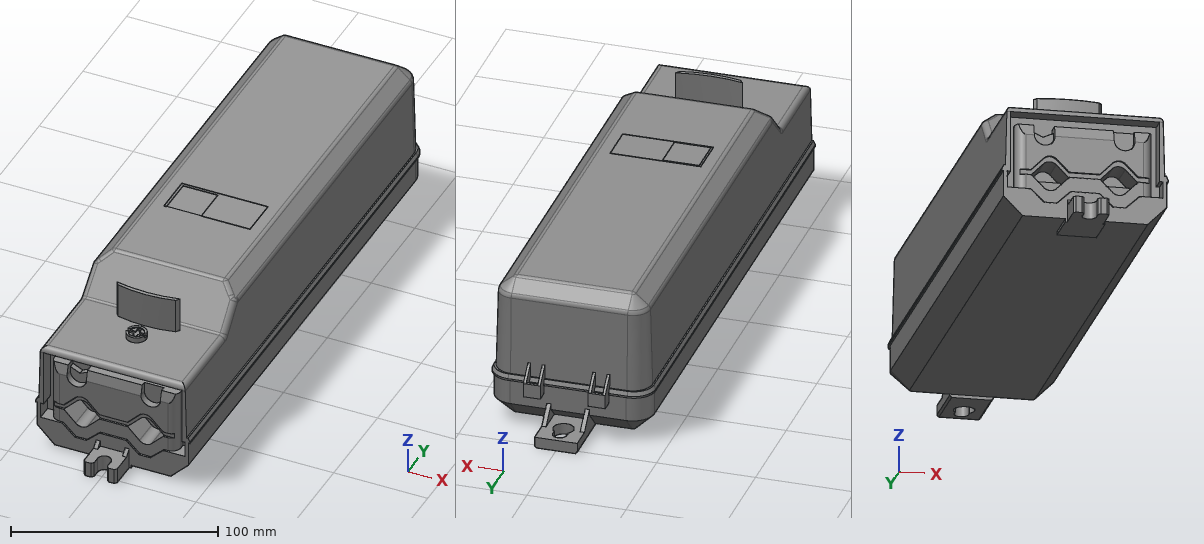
import cadquery as cq

overall_width = 82.2
overall_length = 305.51
overall_height = 76.05
front_tip_y = -14.9
rear_tip_y = front_tip_y + overall_length

reach = 60.0
slack = 0.1
overlap = 1.0

base_half_width = 40.3
base_rear_y = 270.6
base_bottom_z = 1.6
base_chamfer = 9.4
base_corner_radius = 11.0
split_z = 24.0

lip_half_width = overall_width / 2
lip_rear_y = base_rear_y + lip_half_width - base_half_width
lip_height = 3.0
lip_bevel_drop = 2.1
lip_bevel_inset = 1.0

lid_half_width = 39.4
lid_rear_y = 269.7
lid_corner_radius = 10.0
lid_draft = 1.5
lid_chamfer = 8.0
lid_chamfer_drop = 7.0
lid_edge_radius = 3.0
step_z = 57.4
step_top_y = 64.6
step_edge_radius = 3.0
step_foot_radius = 2.0

opening_half_width = 36.8
opening_top_z = step_z - step_edge_radius
opening_floor_z = 15.7
tray_half_width = 38.4
opening_depth = 8.0
insert_half_width = 33.7
insert_front_y = 1.0
insert_edge_radius = 4.8
insert_bevel_z = 43.7
insert_top_z = 49.2
insert_bevel_run = 1.5
cable_x = 17.0
cable_axis_z = 23.3
cable_half_width = 9.4
cable_tip_radius = 4.5
cable_pocket_depth = 14.0
cable_upper_depth = 16.0
pocket_split_z = 24.9
seam_height = 2.6
seam_depth = 1.0
notch_bottom_z = 9.3
notch_top_half = 9.9
notch_bottom_half = 3.0
wire_x = 19.7
wire_diameter = 10.3
wire_axis_z = 44.0
wire_depth = 4.0
saddle_edge_z = 46.6
saddle_bottom_z = 44.2

flag_front_half = 15.3
flag_rear_half = 16.8
flag_end_y = 38.9
flag_bow = 1.8
flag_thickness = 2.0
screw_y = 27.3
screw_diameter = 10.3
screw_recess_diameter = 7.8
screw_height = 2.9
screw_recess_depth = 0.6
cross_depth = 1.4
cross_length = 5.8
cross_width = 2.0
label_width = 45.8
label_length = 20.5
label_y = 117.9
label_depth = 0.3
label_square = 18.5
label_border = 1.2

slot_width = 7.0
front_foot_width = 17.6
front_foot_height = 8.2
front_slot_y = -9.8
front_pad_width = 19.5
front_pad_rear_y = 19.6
tip_chamfer = 1.2
rear_foot_width = 21.6
rear_foot_height = 5.8
rear_foot_chamfer = 1.0
rear_gusset_y = 278.9
keyhole_diameter = 10.3
keyhole_y = 278.1
keyhole_slot_y = 284.2
gusset_thickness = 2.2
front_gusset_run = 3.0

latch_x = 16.4
latch_width = 8.6
latch_rear_y = 277.0
latch_bottom_z = 19.4
latch_shoulder_z = 26.6
latch_cheek = 1.4
latch_plate = 1.6
latch_floor = 2.0


def box(x0, x1, y0, y1, z0, z1):
    """Axis-aligned block between two corners."""
    return cq.Workplane("XY").box(x1 - x0, y1 - y0, z1 - z0, centered=False).translate((x0, y0, z0))


def side_profile(points, width, center_x=0):
    """Closed Y-Z outline extruded along X, centred on center_x."""
    return cq.Workplane("YZ").polyline(points).close().extrude(width / 2, both=True).translate((center_x, 0, 0))


def front_profile(points, y0, y1):
    """Closed X-Z outline extruded along Y from y0 to y1."""
    return cq.Workplane("XZ", origin=(0, y0, 0)).polyline(points).close().extrude(y0 - y1)


def rounded_tail(half_width, rear_y, radius, z0, height, taper=0):
    """Long block with rounded rear corners; it overruns the front face by `radius`."""
    length = rear_y + radius
    return (
        cq.Workplane("XY", origin=(0, rear_y - length / 2, z0))
        .sketch().rect(2 * half_width, length).vertices(">Y").fillet(radius).finalize()
        .extrude(height, taper=taper)
    )


def trim_front(body):
    """Remove everything ahead of the front end face."""
    return body.cut(box(-reach, reach, -reach, 0, -reach, overall_height + reach))


def make_base():
    height = split_z - base_bottom_z
    base = rounded_tail(base_half_width, base_rear_y, base_corner_radius, base_bottom_z, height)
    return trim_front(base.faces("<Z").chamfer(base_chamfer))


def make_lip():
    lip = rounded_tail(lip_half_width, lip_rear_y, base_corner_radius, split_z, lip_height)
    return trim_front(lip.faces(">Z").chamfer(lip_bevel_drop, lip_bevel_inset))


def make_lid():
    height = overall_height - split_z
    lid = rounded_tail(lid_half_width, lid_rear_y, lid_corner_radius, split_z, height, lid_draft)
    lid = lid.faces(">Z").chamfer(lid_chamfer_drop, lid_chamfer)
    ramp_rise = overall_height - step_z
    step_foot_y = step_top_y - ramp_rise
    step = side_profile(
        [
            (-reach, step_z),
            (step_foot_y, step_z),
            (step_top_y + reach, overall_height + reach),
            (-reach, overall_height + reach),
        ],
        2 * reach,
    )
    lid = trim_front(lid.cut(step))

    foot_zone = cq.selectors.BoxSelector(
        (-reach, step_foot_y - slack, step_z - slack), (reach, step_foot_y + slack, step_z + slack)
    )
    lid = lid.edges(foot_zone).edges("|X").fillet(step_foot_radius)

    rim_zone = cq.selectors.BoxSelector(
        (-reach, -slack, step_z - slack), (reach, step_foot_y - step_foot_radius, step_z + slack)
    )
    lid = lid.edges(rim_zone).fillet(step_edge_radius)

    bevel_zone = cq.selectors.BoxSelector(
        (-reach, step_top_y - lid_chamfer, overall_height - lid_chamfer_drop),
        (reach, step_top_y + slack, overall_height + slack),
        boundingbox=True,
    )
    ramp_corners = lid.edges(bevel_zone).edges("not |X")
    return lid.faces(">Z").edges().add(ramp_corners).fillet(lid_edge_radius)


def make_opening():
    """Stepped cable opening, wider through the base tray than through the lid."""
    lid_part = box(-opening_half_width, opening_half_width, 0, opening_depth, split_z, opening_top_z)
    tray_part = box(-tray_half_width, tray_half_width, 0, opening_depth, opening_floor_z, split_z)
    opening = lid_part.union(tray_part)
    for x in (-cable_x, cable_x):
        notch = [
            (x - notch_top_half, opening_floor_z),
            (x - notch_bottom_half, notch_bottom_z),
            (x + notch_bottom_half, notch_bottom_z),
            (x + notch_top_half, opening_floor_z),
        ]
        opening = opening.union(front_profile(notch, 0, insert_front_y))
    return opening


def cable_shape(x, z, y0, y1):
    """Diamond cable passage with rounded upper and lower tips."""
    diamond = [
        (x - cable_half_width, z),
        (x, z - cable_half_width),
        (x + cable_half_width, z),
        (x, z + cable_half_width),
    ]
    return front_profile(diamond, y0, y1).edges("|Y").edges(">Z or <Z").fillet(cable_tip_radius)


def make_insert():
    """Clamping block that fills the opening, with a stepped cable seam and two wire grooves."""
    back_y = opening_depth + overlap
    insert = box(-insert_half_width, insert_half_width, insert_front_y, back_y, opening_floor_z, insert_top_z)
    insert = insert.edges("|Z and <Y").fillet(insert_edge_radius)
    bevel = [
        (insert_front_y, insert_bevel_z),
        (insert_front_y + insert_bevel_run, insert_top_z),
        (insert_front_y - overlap, insert_top_z),
        (insert_front_y - overlap, insert_bevel_z),
    ]
    insert = insert.cut(side_profile(bevel, 2 * insert_half_width))

    seam_end_y = insert_front_y + seam_depth
    seam = box(
        -insert_half_width, insert_half_width,
        insert_front_y, seam_end_y, cable_axis_z, cable_axis_z + seam_height,
    )
    insert = insert.cut(seam)
    for x in (-cable_x, cable_x):
        insert = insert.cut(cable_shape(x, cable_axis_z + seam_height, insert_front_y, seam_end_y))

    half = wire_diameter / 2
    for x in (-wire_x, wire_x):
        groove = cq.Workplane("XZ", origin=(x, insert_front_y, wire_axis_z)).circle(half)
        insert = insert.cut(groove.extrude(-wire_depth))
        mouth = box(
            x - half, x + half,
            insert_front_y, insert_front_y + wire_depth, wire_axis_z, insert_top_z,
        )
        insert = insert.cut(mouth)
    saddle = [
        (-wire_x - half, insert_top_z),
        (-wire_x - half, saddle_edge_z),
        (-wire_x, saddle_bottom_z),
        (-wire_x + half, saddle_edge_z),
        (-wire_x + half, insert_top_z),
    ]
    return insert.cut(front_profile(saddle, insert_front_y, opening_depth))


def make_cable_pockets():
    """Two blind cable passages whose upper part runs deeper than the lower part."""
    upper_end_y = insert_front_y + cable_upper_depth
    above_split = box(-insert_half_width, insert_half_width, 0, upper_end_y, pocket_split_z, insert_top_z)
    pockets = cq.Workplane("XY")
    for x in (-cable_x, cable_x):
        pockets = pockets.add(cable_shape(x, cable_axis_z, insert_front_y, insert_front_y + cable_pocket_depth))
        pockets = pockets.add(cable_shape(x, cable_axis_z, insert_front_y, upper_end_y).intersect(above_split))
    return pockets.combine()


def make_flag():
    """Bowed upright plate on the step, level with the lid top."""
    middle_y = flag_end_y - flag_bow
    flag = (
        cq.Workplane("XY", origin=(0, 0, step_z - overlap))
        .moveTo(-flag_front_half, flag_end_y)
        .threePointArc((0, middle_y), (flag_front_half, flag_end_y))
        .lineTo(flag_rear_half, flag_end_y + flag_thickness)
        .threePointArc((0, middle_y + flag_thickness), (-flag_rear_half, flag_end_y + flag_thickness))
        .close()
    )
    return flag.extrude(overall_height - step_z + overlap)


def make_screw():
    """Screw head with a dished top and a cross recess whose X arm runs out through the rim."""
    top_z = step_z + screw_height
    head = cq.Workplane("XY", origin=(0, screw_y, step_z - overlap)).circle(screw_diameter / 2)
    screw = head.extrude(screw_height + overlap)
    dish = cq.Workplane("XY", origin=(0, screw_y, top_z)).circle(screw_recess_diameter / 2)
    screw = screw.cut(dish.extrude(-screw_recess_depth))
    for length, width in ((screw_diameter, cross_width), (cross_width, cross_length)):
        arm = cq.Workplane("XY", origin=(0, screw_y, top_z)).rect(length, width)
        screw = screw.cut(arm.extrude(-cross_depth))
    return screw


def make_label():
    """Shallow label recess in the lid top, with a deeper square at its left end."""
    label = cq.Workplane("XY", origin=(0, label_y, overall_height)).rect(label_width, label_length)
    label = label.extrude(-label_depth)
    square_x = -label_width / 2 + label_border
    square_y = label_y - label_length / 2
    square = box(
        square_x, square_x + label_square, square_y, square_y + label_length - label_border,
        overall_height - 2 * label_depth, overall_height,
    )
    return label.union(square)


def make_front_foot():
    half = front_foot_width / 2
    foot = box(-half, half, front_tip_y, overlap, 0, front_foot_height)
    tips = box(-slot_width / 2, slot_width / 2, front_tip_y, front_slot_y, 0, front_foot_height)
    foot = foot.cut(tips).edges("|Z and <Y").chamfer(tip_chamfer)
    slot_end = cq.Workplane("XY", origin=(0, front_slot_y, 0)).circle(slot_width / 2)
    foot = foot.cut(slot_end.extrude(front_foot_height))
    gusset = [
        (overlap, front_foot_height),
        (-front_gusset_run, front_foot_height),
        (0, front_foot_height + front_gusset_run),
        (overlap, front_foot_height + front_gusset_run),
    ]
    for side in (-1, 1):
        foot = foot.union(side_profile(gusset, gusset_thickness, side * (half - gusset_thickness / 2)))
    pad = box(-front_pad_width / 2, front_pad_width / 2, 0, front_pad_rear_y, 0, base_bottom_z)
    pad = pad.faces(">Y").edges(">Z").chamfer(base_bottom_z / 2)
    return foot.union(pad)


def make_rear_foot():
    half = rear_foot_width / 2
    foot = box(-half, half, base_rear_y - base_chamfer, rear_tip_y, 0, rear_foot_height)
    foot = foot.faces("<Z").edges("|Y").chamfer(rear_foot_chamfer)
    gusset_height = rear_gusset_y - base_rear_y
    gusset = [
        (base_rear_y - base_chamfer, rear_foot_height / 2),
        (rear_gusset_y, rear_foot_height),
        (base_rear_y, rear_foot_height + gusset_height),
        (base_rear_y - overlap, rear_foot_height + gusset_height),
    ]
    for side in (-1, 1):
        foot = foot.union(side_profile(gusset, gusset_thickness, side * (half - gusset_thickness / 2)))
    keyhole = cq.Workplane("XY").center(0, keyhole_y).circle(keyhole_diameter / 2).extrude(rear_foot_height)
    neck = cq.Workplane("XY").center(0, keyhole_slot_y).circle(slot_width / 2).extrude(rear_foot_height)
    neck = neck.union(box(-slot_width / 2, slot_width / 2, keyhole_y, keyhole_slot_y, 0, rear_foot_height))
    return foot.cut(keyhole).cut(neck)


def make_latch(center_x):
    """Snap hook on the rear wall: two side cheeks joined by a rear plate and a floor."""
    wall_y = lid_rear_y - 2 * overlap
    cheek = [
        (wall_y, latch_bottom_z),
        (latch_rear_y, latch_bottom_z),
        (latch_rear_y, latch_shoulder_z),
        (wall_y, latch_shoulder_z + latch_rear_y - wall_y),
    ]
    half = latch_width / 2
    latch = box(
        center_x - half, center_x + half,
        latch_rear_y - latch_plate, latch_rear_y, latch_bottom_z, latch_shoulder_z,
    )
    floor = box(
        center_x - half, center_x + half, wall_y, latch_rear_y, latch_bottom_z, latch_bottom_z + latch_floor
    )
    latch = latch.union(floor)
    for side in (-1, 1):
        latch = latch.union(side_profile(cheek, latch_cheek, center_x + side * (half - latch_cheek / 2)))
    return latch


result = make_lid().union(make_lip()).union(make_base())
result = result.cut(make_opening()).union(make_insert()).cut(make_cable_pockets())
result = result.union(make_flag()).union(make_screw()).cut(make_label())
result = result.union(make_front_foot()).union(make_rear_foot())
for latch_side in (-1, 1):
    result = result.union(make_latch(latch_side * latch_x))